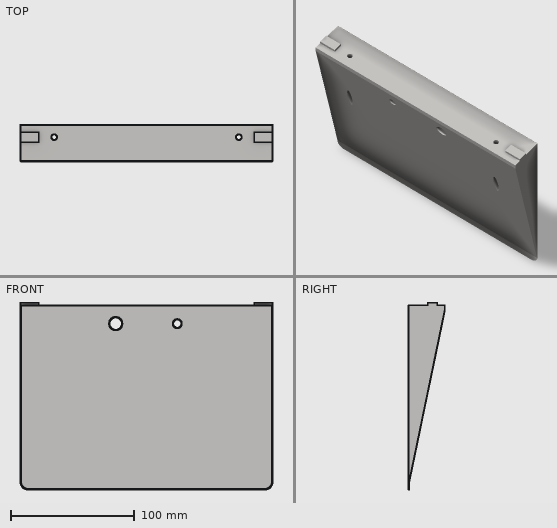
import cadquery as cq

width = 205.0
depth = 30.0
total_height = 152.0
tab_height = 2.0
body_height = total_height - tab_height
lip_thickness = 1.0
lip_height = 6.5
back_land_height = 4.0
corner_radius = 6.4
front_chamfer = 0.6

tab_length = 15.0
tab_depth = 8.0

hole_offset_x = 25.0
hole_drop = 15.0
large_hole_diameter = 10.0
small_hole_diameter = 6.5
hole_chamfer = 0.5

pin_hole_diameter = 4.5
pin_hole_offset_x = 75.0

top_feature_y = 19.9


def make_body():
    profile = [
        (0, 0),
        (lip_thickness, 0),
        (lip_thickness, lip_height),
        (depth, body_height - back_land_height),
        (depth, body_height),
        (0, body_height),
    ]
    wedge = cq.Workplane("YZ").polyline(profile).close().extrude(width / 2, both=True)
    outline = (
        cq.Workplane("XY")
        .box(width, depth, body_height, centered=(True, False, False))
        .edges("|Y and <Z")
        .fillet(corner_radius)
    )
    return wedge.intersect(outline).faces("<Y").edges().chamfer(front_chamfer)


def make_tab(side):
    center_x = side * (width - tab_length) / 2
    return (
        cq.Workplane("XY", origin=(center_x, top_feature_y, body_height))
        .rect(tab_length, tab_depth)
        .extrude(tab_height)
    )


def front_hole_cutter(center_x, diameter):
    """Round cutter along Y with a countersunk mouth on the front face."""
    radius = diameter / 2
    axis_z = body_height - hole_drop
    bore = cq.Workplane("XZ", origin=(center_x, 0, axis_z)).circle(radius).extrude(-depth)
    mouth = cq.Solid.makeCone(
        radius + hole_chamfer,
        radius,
        hole_chamfer,
        pnt=cq.Vector(center_x, 0, axis_z),
        dir=cq.Vector(0, 1, 0),
    )
    return bore.union(cq.Workplane(mouth))


def pin_hole_cutter(side):
    return (
        cq.Workplane("XY", origin=(side * pin_hole_offset_x, top_feature_y, 0))
        .circle(pin_hole_diameter / 2)
        .extrude(body_height)
    )


result = make_body()
for side in (-1, 1):
    result = result.union(make_tab(side))
    result = result.cut(pin_hole_cutter(side))

result = result.cut(front_hole_cutter(-hole_offset_x, large_hole_diameter))
result = result.cut(front_hole_cutter(hole_offset_x, small_hole_diameter))